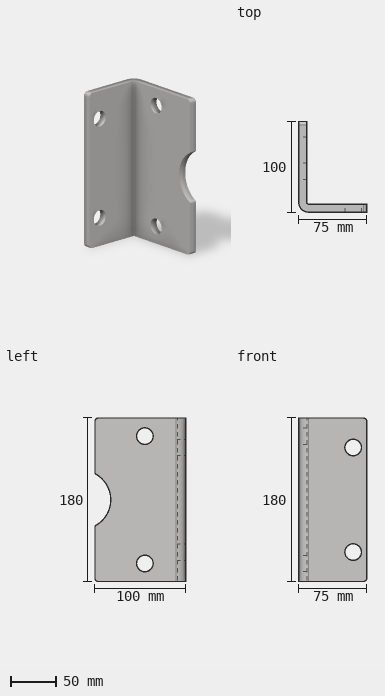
import cadquery as cq

width = 75.0
depth = 100.0
height = 180.0
thickness = 9.0
inner_bend_radius = 2.0
outer_bend_radius = inner_bend_radius + thickness
corner_radius = 4.0

hole_diameter = 18.0
front_hole_x = 60.0
front_hole_spacing = 115.0
side_hole_y = 45.0
side_hole_spacing = 140.0

notch_radius = 32.4
notch_depth = 17.5
notch_edge_radius = 2.0

mid_height = height / 2
notch_center_y = depth - notch_depth + notch_radius


def bent_plate():
    """L-shaped plate with its bend along the Z axis."""
    plate = (
        cq.Workplane("XY")
        .polyline([
            (0, 0),
            (width, 0),
            (width, thickness),
            (thickness, thickness),
            (thickness, depth),
            (0, depth),
        ])
        .close()
        .extrude(height)
    )
    inner_corner = cq.selectors.NearestToPointSelector((thickness, thickness, mid_height))
    outer_corner = cq.selectors.NearestToPointSelector((0, 0, mid_height))
    plate = plate.edges("|Z").edges(inner_corner).fillet(inner_bend_radius)
    return plate.edges("|Z").edges(outer_corner).fillet(outer_bend_radius)


def round_free_corners(plate):
    """Round the top and bottom corners at the free end of each leg."""
    plate = plate.faces(">X").edges("|Y").fillet(corner_radius)
    return plate.faces(">Y").edges("|X").fillet(corner_radius)


def hole_pair(plane, position, spacing):
    """Two cutters through a leg, placed evenly about mid height."""
    return (
        cq.Workplane(plane)
        .pushPoints([(position, mid_height + side * spacing / 2) for side in (-1, 1)])
        .circle(hole_diameter / 2)
        .extrude(thickness)
    )


def cut_notch(plate):
    """Cut the arc notch and soften its two edges."""
    cutter = (
        cq.Workplane("YZ")
        .center(notch_center_y, mid_height)
        .circle(notch_radius)
        .extrude(thickness)
    )
    plate = plate.cut(cutter)
    half_chord = (notch_radius**2 - (notch_center_y - depth) ** 2) ** 0.5
    for side in (-1, 1):
        notch_corner = (thickness / 2, depth, mid_height + side * half_chord)
        edge = cq.selectors.NearestToPointSelector(notch_corner)
        plate = plate.edges("|X").edges(edge).fillet(notch_edge_radius)
    return plate


bracket = round_free_corners(bent_plate())
bracket = bracket.cut(hole_pair("XZ", front_hole_x, front_hole_spacing).mirror("XZ"))
bracket = bracket.cut(hole_pair("YZ", side_hole_y, side_hole_spacing))
result = cut_notch(bracket)